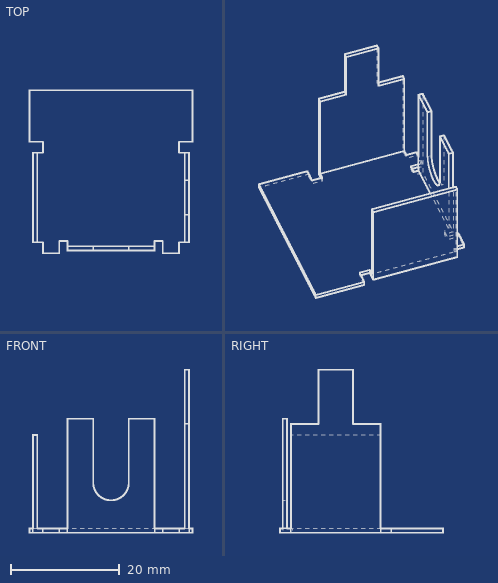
import cadquery as cq

size = 30.0
sheet = 0.8

flange_depth = 9.5
neck_width = 25.0
foot_width = 3.0
front_edge = 2.25

wall_span = 28.7
wall_front = 2.0
wall_length = 16.5
left_height = 18.0
right_height = 20.0
tongue_width = 6.35

plate_width = 16.0
plate_height = 21.0
plate_front = 0.5
slot_width = 6.5
slot_bottom = 6.0

strip_width = (wall_span - neck_width) / 2
strip_x = (wall_span - strip_width) / 2

upright_x = (wall_span - sheet) / 2
tongue_start = wall_front + (wall_length - tongue_width) / 2


def block(x_center, y_start, width, length, height):
    """Upright box on the ground plane, centred in X and starting at y_start."""
    return cq.Workplane("XY").box(width, length, height, centered=(True, False, False)).translate(
        (x_center, y_start, 0)
    )


def make_base():
    base = block(0, size - flange_depth, size, flange_depth, sheet)
    base = base.union(block(0, front_edge, neck_width, size - front_edge, sheet))
    foot_x = (neck_width - foot_width) / 2
    for side in (-1, 1):
        base = base.union(block(side * foot_x, 0, foot_width, front_edge, sheet))
        base = base.union(block(side * strip_x, wall_front, strip_width, wall_length, sheet))
    return base


def make_front_plate():
    plate = block(0, plate_front, plate_width, sheet, plate_height)
    plate = plate.union(block(0, plate_front, plate_width, front_edge - plate_front, sheet))
    radius = slot_width / 2
    arc_z = slot_bottom + radius
    slot = (
        cq.Workplane("XZ", origin=(0, plate_front + sheet, 0))
        .moveTo(-radius, plate_height)
        .lineTo(-radius, arc_z)
        .threePointArc((0, slot_bottom), (radius, arc_z))
        .lineTo(radius, plate_height)
        .close()
        .extrude(sheet)
    )
    return plate.cut(slot)


left_wall = block(-upright_x, wall_front, sheet, wall_length, left_height)
right_wall = block(upright_x, wall_front, sheet, wall_length, right_height)
tongue = block(upright_x, tongue_start, sheet, tongue_width, size)

result = make_base().union(make_front_plate()).union(left_wall).union(right_wall).union(tongue)
result = result.clean()